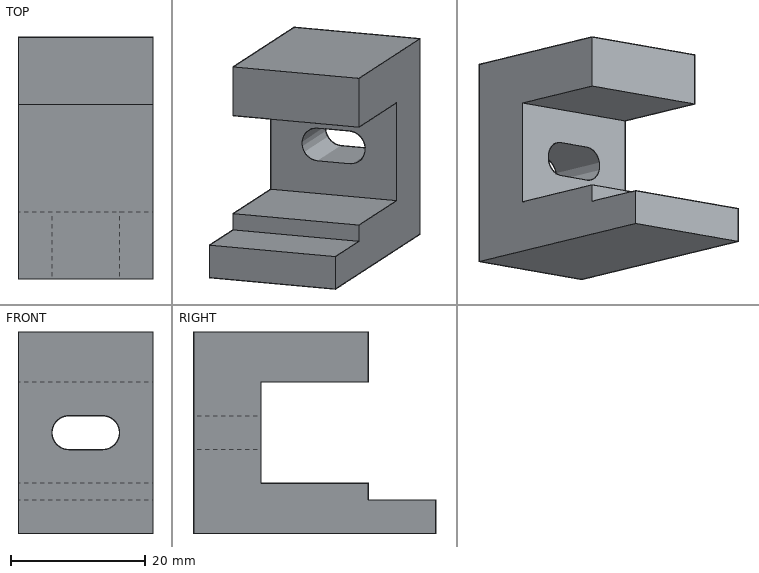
import cadquery as cq

width = 20.0
length = 36.0
height = 30.0

foot_length = 10.0
foot_height = 5.0
jaw_thickness = 7.5
wall_thickness = 10.0
jaw_end = length - foot_length

slot_length = width / 2
slot_height = 5.0


def clamp_body():
    """C-shaped profile with a stepped foot, extruded across the width."""
    profile = [
        (0, 0),
        (length, 0),
        (length, foot_height),
        (jaw_end, foot_height),
        (jaw_end, jaw_thickness),
        (wall_thickness, jaw_thickness),
        (wall_thickness, height - jaw_thickness),
        (jaw_end, height - jaw_thickness),
        (jaw_end, height),
        (0, height),
    ]
    return cq.Workplane("YZ").polyline(profile).close().extrude(width)


def wall_slot():
    """Round-ended cutter centred on the wall, running along +Y."""
    return (
        cq.Workplane("XZ")
        .center(width / 2, height / 2)
        .slot2D(slot_length, slot_height)
        .extrude(-wall_thickness)
    )


result = clamp_body().cut(wall_slot())